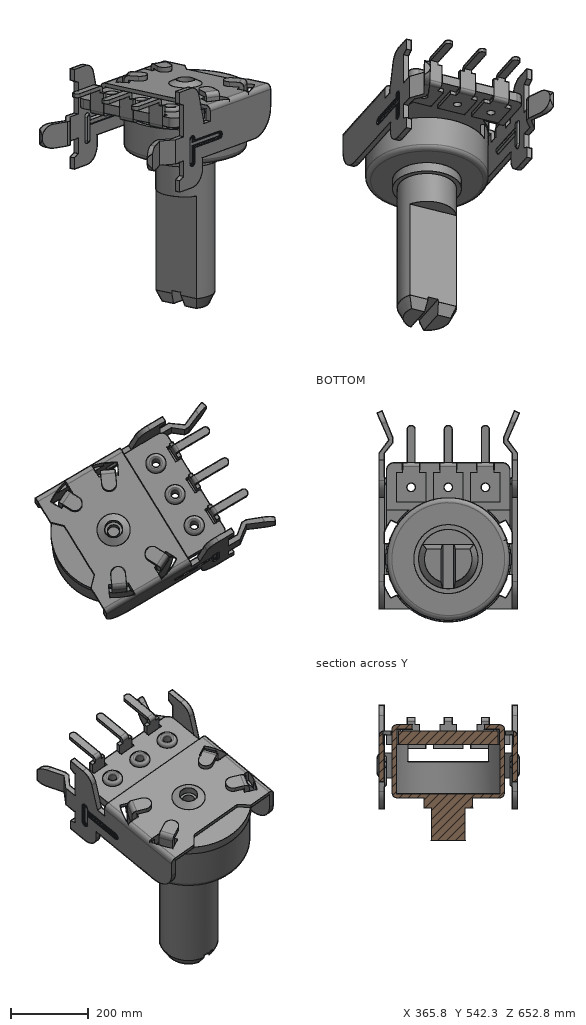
import cadquery as cq
import math


CAN_RADIUS = 157.48
CAN_WALL = 11.43
CAN_HEIGHT = 137.16
CAN_EDGE_RADIUS = 12.7
WINDOW_SILL = 93.98
WINDOW_ANGLE = 90.0

BUSHING_RADIUS = 88.5
BUSHING_LENGTH = 25.4
SHAFT_RADIUS = 76.2
SHAFT_END = -414.02
FLAT_OFFSET = 38.1
FLAT_TOP = -109.22
TIP_LENGTH = 31.1
TIP_INSET = 15.24
TIP_FLAT_INSET = 12.7
DRIVER_SLOT_DEPTH = 38.74
DRIVER_SLOT_TOP_WIDTH = 27.43
DRIVER_SLOT_END_WIDTH = 37.08

BOARD_RADIUS = 161.29
BOARD_HALF_WIDTH = 158.75
BOARD_FRONT = -247.65
APRON_REAR = -125.73
BOARD_CORNER_RADIUS = 20.32
BOARD_THICKNESS = 25.4
BOARD_TOP = CAN_HEIGHT + BOARD_THICKNESS
PIN_HOLE_RADIUS = 15.75

TERMINAL_PITCH = 95.25
TERMINAL_SHEET = 10.16
TERMINAL_WIDTH = 43.18
TERMINAL_SHOULDER = 189.23
PAD_SIZE = 76.2
PIN_WIDTH = 20.96
PIN_TOP = 207.01
PIN_END = -342.9
NOTCH_WIDTH = 44.45
NOTCH_DEPTH = 17.78
EYELET_Y = -184.15
EYELET_RADIUS = 26.04
EYELET_CREST_RADIUS = 16.51
EYELET_HOLE_RADIUS = 10.67
EYELET_HEIGHT = 9.53

COVER_HALF_WIDTH = 177.8
COVER_REAR = 128.27
COVER_FRONT = -125.73
COVER_SHEET = 10.16
COVER_TOP = BOARD_TOP + COVER_SHEET
BEND_RADIUS = 13.97
REAR_NOTCH_DEPTH = 25.4
REAR_NOTCH_HALF_WIDTH = 100.33
DIMPLE_RADIUS = 42.67
DIMPLE_TOP_RADIUS = 22.86
DIMPLE_HEIGHT = 10.16

SIDE_SHEET = 13.97
SIDE_BOTTOM = 41.91
SIDE_REAR_RADIUS = 71.12
THROAT_BOTTOM = 132.08
THROAT_END = -151.64
LEAN_ANGLE = 15.0
EAR_CENTER_Z = 105.41
EAR_HALF_HEIGHT = 133.35
EAR_FRONT = -254.0
EAR_BACK = -157.48
EAR_TOP_RADIUS = 35.56
EAR_BOTTOM_RADIUS = 44.45
RECESS_Y = -237.49
RECESS_HALF_HEIGHT = 95.25
RECESS_SLOPE = 7.62

TONGUE_Z = 83.82
TONGUE_WIDTH = 64.77
TONGUE_BEND_Y = -271.78
TONGUE_KNEE_X = 152.65
TONGUE_KNEE_Y = -305.56
TONGUE_KNEE_INNER_X = 141.99
TONGUE_KNEE_INNER_REAR_Y = -298.45
TONGUE_KNEE_INNER_FRONT_Y = -311.66
TONGUE_TIP_X = 182.88
TONGUE_TIP_Y = -374.65
TONGUE_END_X = 169.8
TONGUE_END_Y = -381.0

BEAD_WIDTH = 19.81
BEAD_DEPTH = 5.6
BEAD_TAPER = 40.0
BEAD_STEP_DEPTH = 3.3
BEAD_STEP_MARGIN = 3.56
BEAD_STEM_REAR = -75.18
BEAD_STEM_Z = 86.11
BEAD_BAR_Y = -200.15
BEAD_BAR_TOP = 110.49
BEAD_BAR_BOTTOM = 28.7

LUG_ANGLE = 25.5
LUG_WIDTH = 38.1
LUG_SHEET = 12.7
LUG_TOP = 189.23
LUG_NOSE_CENTER = 119.38
LUG_OUTER = 157.48
OPENING_INNER = 142.24
OPENING_OUTER_RADIUS = 177.8
OPENING_SIDE_OFFSET = 26.67
OPENING_MIN_Y = 39.62

NEARLY_FULL = 0.98


def cylinder(radius, bottom, top):
    return cq.Workplane("XY").workplane(offset=bottom).circle(radius).extrude(top - bottom)


def block(x_range, y_range, z_range):
    size = [high - low for low, high in (x_range, y_range, z_range)]
    corner = (x_range[0], y_range[0], z_range[0])
    return cq.Workplane("XY").box(*size, centered=False).translate(corner)


def on_both_sides(shape):
    return shape.union(shape.mirror("YZ"))


def in_four_corners(shape):
    pair = on_both_sides(shape)
    return pair.union(pair.mirror("XZ"))


def make_can():
    can = cylinder(CAN_RADIUS, 0, CAN_HEIGHT).faces("<Z").edges().fillet(CAN_EDGE_RADIUS)
    can = can.cut(cylinder(CAN_RADIUS - CAN_WALL, CAN_WALL, CAN_HEIGHT))
    reach = 2 * CAN_RADIUS
    half_angle = math.radians(WINDOW_ANGLE / 2)
    corner_x = reach * math.sin(half_angle)
    corner_y = -reach * math.cos(half_angle)
    window = (
        cq.Workplane("XY")
        .workplane(offset=WINDOW_SILL)
        .polyline([(0, 0), (-corner_x, corner_y), (corner_x, corner_y)])
        .close()
        .extrude(CAN_HEIGHT - WINDOW_SILL)
    )
    return can.cut(window)


def make_shaft():
    tip_start = SHAFT_END + TIP_LENGTH
    shaft = (
        cq.Workplane("XZ")
        .polyline([
            (0, SHAFT_END),
            (SHAFT_RADIUS - TIP_INSET, SHAFT_END),
            (SHAFT_RADIUS, tip_start),
            (SHAFT_RADIUS, -BUSHING_LENGTH),
            (BUSHING_RADIUS, -BUSHING_LENGTH),
            (BUSHING_RADIUS, CAN_WALL),
            (0, CAN_WALL),
        ])
        .close()
        .revolve(360, (0, 0), (0, 1))
    )
    flat = (
        cq.Workplane("YZ")
        .polyline([
            (-FLAT_OFFSET, FLAT_TOP),
            (-FLAT_OFFSET, tip_start),
            (-FLAT_OFFSET + TIP_FLAT_INSET, SHAFT_END),
            (-2 * SHAFT_RADIUS, SHAFT_END),
            (-2 * SHAFT_RADIUS, FLAT_TOP),
        ])
        .close()
        .extrude(SHAFT_RADIUS, both=True)
    )
    slot_top = SHAFT_END + DRIVER_SLOT_DEPTH
    driver_slot = (
        cq.Workplane("XZ")
        .polyline([
            (-DRIVER_SLOT_END_WIDTH / 2, SHAFT_END),
            (-DRIVER_SLOT_TOP_WIDTH / 2, slot_top),
            (DRIVER_SLOT_TOP_WIDTH / 2, slot_top),
            (DRIVER_SLOT_END_WIDTH / 2, SHAFT_END),
        ])
        .close()
        .extrude(SHAFT_RADIUS, both=True)
    )
    return shaft.cut(flat).cut(driver_slot)


def make_board():
    apron = block(
        (-BOARD_HALF_WIDTH, BOARD_HALF_WIDTH), (BOARD_FRONT, APRON_REAR), (CAN_HEIGHT, BOARD_TOP)
    )
    apron = apron.edges("|Z and <Y").fillet(BOARD_CORNER_RADIUS)
    board = cylinder(BOARD_RADIUS, CAN_HEIGHT, BOARD_TOP).union(apron)
    return board.cut(cylinder(PIN_HOLE_RADIUS, CAN_HEIGHT, BOARD_TOP))


def make_terminal():
    half_width = TERMINAL_WIDTH / 2
    half_pad = PAD_SIZE / 2
    half_pin = PIN_WIDTH / 2
    bottom = CAN_HEIGHT - TERMINAL_SHEET
    upright_y = (BOARD_FRONT, BOARD_FRONT + TERMINAL_SHEET)
    pad = block(
        (-half_pad, half_pad), (EYELET_Y - half_pad, EYELET_Y + half_pad), (bottom, CAN_HEIGHT)
    )
    neck = block((-half_width, half_width), (BOARD_FRONT, EYELET_Y), (bottom, CAN_HEIGHT))
    upright = block((-half_width, half_width), upright_y, (bottom, TERMINAL_SHOULDER))
    foot = neck.union(upright).edges("|X and <Y and <Z").fillet(TERMINAL_SHEET)
    pin_root = block((-half_pin, half_pin), upright_y, (TERMINAL_SHOULDER, PIN_TOP))
    pin = block(
        (-half_pin, half_pin), (PIN_END, upright_y[1]), (PIN_TOP - TERMINAL_SHEET, PIN_TOP)
    )
    pin = pin.edges("|Z and <Y").fillet(NEARLY_FULL * half_pin)
    pin = pin.union(pin_root).edges("|X and >Y and >Z").fillet(TERMINAL_SHEET)
    return foot.union(pad).union(pin)


def make_eyelet():
    bottom = CAN_HEIGHT - TERMINAL_SHEET
    top = BOARD_TOP + EYELET_HEIGHT
    inner_round = EYELET_CREST_RADIUS - EYELET_HOLE_RADIUS
    outer_round = EYELET_RADIUS - EYELET_CREST_RADIUS
    ring = (
        cq.Workplane("XZ")
        .moveTo(EYELET_HOLE_RADIUS, bottom)
        .lineTo(EYELET_HOLE_RADIUS, top - inner_round)
        .radiusArc((EYELET_CREST_RADIUS, top), inner_round)
        .radiusArc((EYELET_RADIUS, BOARD_TOP), outer_round)
        .lineTo(EYELET_RADIUS, bottom)
        .close()
        .revolve(360, (0, 0), (0, 1))
    )
    return ring.translate((0, EYELET_Y, 0))


def add_terminals(part):
    half_width = NOTCH_WIDTH / 2
    notch = block(
        (-half_width, half_width), (BOARD_FRONT, BOARD_FRONT + NOTCH_DEPTH), (CAN_HEIGHT, BOARD_TOP)
    )
    hole = cylinder(EYELET_HOLE_RADIUS, 0, COVER_TOP).translate((0, EYELET_Y, 0))
    terminal = make_terminal().union(make_eyelet())
    for x in (-TERMINAL_PITCH, 0, TERMINAL_PITCH):
        part = part.cut(notch.translate((x, 0, 0)))
        part = part.union(terminal.translate((x, 0, 0)))
        part = part.cut(hole.translate((x, 0, 0)))
    return part


def make_side_plate():
    ear_top = EAR_CENTER_Z + EAR_HALF_HEIGHT
    ear_bottom = EAR_CENTER_Z - EAR_HALF_HEIGHT
    recess_top = EAR_CENTER_Z + RECESS_HALF_HEIGHT
    recess_bottom = EAR_CENTER_Z - RECESS_HALF_HEIGHT
    lean = (ear_top - THROAT_BOTTOM) * math.tan(math.radians(LEAN_ANGLE))
    plate = (
        cq.Workplane("YZ")
        .polyline([
            (COVER_REAR, COVER_TOP),
            (COVER_FRONT, COVER_TOP),
            (COVER_FRONT, THROAT_BOTTOM),
            (THROAT_END, THROAT_BOTTOM),
            (THROAT_END - lean, ear_top),
            (EAR_FRONT, ear_top),
            (EAR_FRONT, recess_top + RECESS_SLOPE),
            (RECESS_Y, recess_top),
            (RECESS_Y, recess_bottom),
            (EAR_FRONT, recess_bottom - RECESS_SLOPE),
            (EAR_FRONT, ear_bottom),
            (EAR_BACK, ear_bottom),
            (EAR_BACK, SIDE_BOTTOM),
            (COVER_REAR, SIDE_BOTTOM),
        ])
        .close()
        .extrude(SIDE_SHEET)
    )

    def round_corner(shape, y, z, radius):
        corner = cq.selectors.BoxSelector((-1, y - 1, z - 1), (SIDE_SHEET + 1, y + 1, z + 1))
        return shape.edges(corner).edges("|X").fillet(radius)

    plate = round_corner(plate, COVER_REAR, SIDE_BOTTOM, SIDE_REAR_RADIUS)
    plate = round_corner(plate, THROAT_END - lean, ear_top, EAR_TOP_RADIUS)
    plate = round_corner(plate, EAR_BACK, ear_bottom, EAR_BOTTOM_RADIUS)
    return plate.translate((COVER_HALF_WIDTH - SIDE_SHEET, 0, 0))


def make_tongue():
    outer_x = COVER_HALF_WIDTH
    inner_x = COVER_HALF_WIDTH - SIDE_SHEET
    half_width = TONGUE_WIDTH / 2
    strip = (
        cq.Workplane("XY")
        .workplane(offset=TONGUE_Z - half_width)
        .polyline([
            (outer_x, RECESS_Y),
            (outer_x, TONGUE_BEND_Y),
            (TONGUE_KNEE_X, TONGUE_KNEE_Y),
            (TONGUE_TIP_X, TONGUE_TIP_Y),
            (TONGUE_END_X, TONGUE_END_Y),
            (TONGUE_KNEE_INNER_X, TONGUE_KNEE_INNER_FRONT_Y),
            (TONGUE_KNEE_INNER_X, TONGUE_KNEE_INNER_REAR_Y),
            (inner_x, TONGUE_BEND_Y),
            (inner_x, RECESS_Y),
        ])
        .close()
        .extrude(TONGUE_WIDTH)
    )
    rounded_end = block(
        (0, 2 * outer_x),
        (TONGUE_END_Y, RECESS_Y),
        (TONGUE_Z - half_width, TONGUE_Z + half_width),
    )
    rounded_end = rounded_end.edges("|X and <Y").fillet(NEARLY_FULL * half_width)
    return strip.intersect(rounded_end)


def make_tee(face_x, margin, depth, taper):
    """T-shaped bar from face_x towards -X, its outline a margin inside that of the bead."""
    width = BEAD_WIDTH - 2 * margin
    stem_length = BEAD_STEM_REAR - BEAD_BAR_Y - margin
    bar_length = BEAD_BAR_TOP - BEAD_BAR_BOTTOM - 2 * margin
    bar_z = (BEAD_BAR_TOP + BEAD_BAR_BOTTOM) / 2
    face = cq.Workplane("YZ").workplane(offset=face_x)
    stem = face.center(BEAD_BAR_Y + stem_length / 2, BEAD_STEM_Z).slot2D(stem_length, width)
    stem = stem.extrude(-depth, taper=taper)
    bar = face.center(BEAD_BAR_Y, bar_z).slot2D(bar_length, width, 90)
    bar = bar.extrude(-depth, taper=taper)
    return stem.union(bar)


def make_bead_recess():
    """Stepped recess on the outer face: a straight rim with a tapered channel inside it."""
    rim = make_tee(COVER_HALF_WIDTH, 0, BEAD_STEP_DEPTH, 0)
    channel_depth = BEAD_DEPTH - BEAD_STEP_DEPTH
    channel_face = COVER_HALF_WIDTH - BEAD_STEP_DEPTH
    return rim.union(make_tee(channel_face, BEAD_STEP_MARGIN, channel_depth, BEAD_TAPER))


def make_cover():
    cover = block(
        (-COVER_HALF_WIDTH, COVER_HALF_WIDTH), (COVER_FRONT, COVER_REAR), (BOARD_TOP, COVER_TOP)
    )
    cover = cover.union(on_both_sides(make_side_plate()))
    bend_zone = cq.selectors.BoxSelector(
        (-2 * COVER_HALF_WIDTH, COVER_FRONT + 1, COVER_TOP - 1),
        (2 * COVER_HALF_WIDTH, COVER_REAR - 1, COVER_TOP + 1),
    )
    cover = cover.edges(bend_zone).edges("|Y").fillet(BEND_RADIUS)
    notch_floor = REAR_NOTCH_HALF_WIDTH - REAR_NOTCH_DEPTH
    rear_notch = (
        cq.Workplane("XY")
        .workplane(offset=BOARD_TOP)
        .polyline([
            (-REAR_NOTCH_HALF_WIDTH, COVER_REAR),
            (-notch_floor, COVER_REAR - REAR_NOTCH_DEPTH),
            (notch_floor, COVER_REAR - REAR_NOTCH_DEPTH),
            (REAR_NOTCH_HALF_WIDTH, COVER_REAR),
        ])
        .close()
        .extrude(COVER_SHEET)
    )
    dimple = (
        cq.Workplane("XZ")
        .polyline([
            (0, BOARD_TOP),
            (DIMPLE_RADIUS, BOARD_TOP),
            (DIMPLE_RADIUS, COVER_TOP),
            (DIMPLE_TOP_RADIUS, COVER_TOP + DIMPLE_HEIGHT),
            (0, COVER_TOP + DIMPLE_HEIGHT),
        ])
        .close()
        .revolve(360, (0, 0), (0, 1))
    )
    dimple_hole = cylinder(DIMPLE_TOP_RADIUS, BOARD_TOP, COVER_TOP + DIMPLE_HEIGHT)
    cover = cover.cut(rear_notch).union(dimple).cut(dimple_hole)
    cover = cover.union(on_both_sides(make_tongue()))
    bead = make_tee(COVER_HALF_WIDTH - SIDE_SHEET, 0, BEAD_DEPTH, BEAD_TAPER)
    cover = cover.union(on_both_sides(bead))
    return cover.cut(on_both_sides(make_bead_recess()))


def make_opening():
    """Clearance beside one lug, cut through both the cover and the board."""
    reach = 2 * OPENING_OUTER_RADIUS
    height = (CAN_HEIGHT, COVER_TOP)
    strip = block((OPENING_INNER, reach), (-reach, OPENING_SIDE_OFFSET), height)
    strip = strip.rotate((0, 0, 0), (0, 0, 1), LUG_ANGLE)
    strip = strip.intersect(block((0, reach), (OPENING_MIN_Y, reach), height))
    return strip.intersect(cylinder(OPENING_OUTER_RADIUS, *height))


def make_lug():
    half_width = LUG_WIDTH / 2
    height = (LUG_TOP - LUG_SHEET, LUG_TOP)
    nose = cylinder(half_width, *height).translate((LUG_NOSE_CENTER, 0, 0))
    leaf = block((LUG_NOSE_CENTER, LUG_OUTER), (-half_width, half_width), height)
    leg = block(
        (LUG_OUTER - LUG_SHEET, LUG_OUTER), (-half_width, half_width), (CAN_HEIGHT, LUG_TOP)
    )
    lug = leaf.union(leg).edges("|Y and >X and >Z").fillet(NEARLY_FULL * LUG_SHEET)
    return lug.union(nose).rotate((0, 0, 0), (0, 0, 1), LUG_ANGLE)


openings = in_four_corners(make_opening())
cover_with_openings = make_cover().cut(openings)
result = make_can().union(make_shaft()).union(make_board().cut(openings))
result = add_terminals(result)
result = result.union(cover_with_openings).union(in_four_corners(make_lug()))